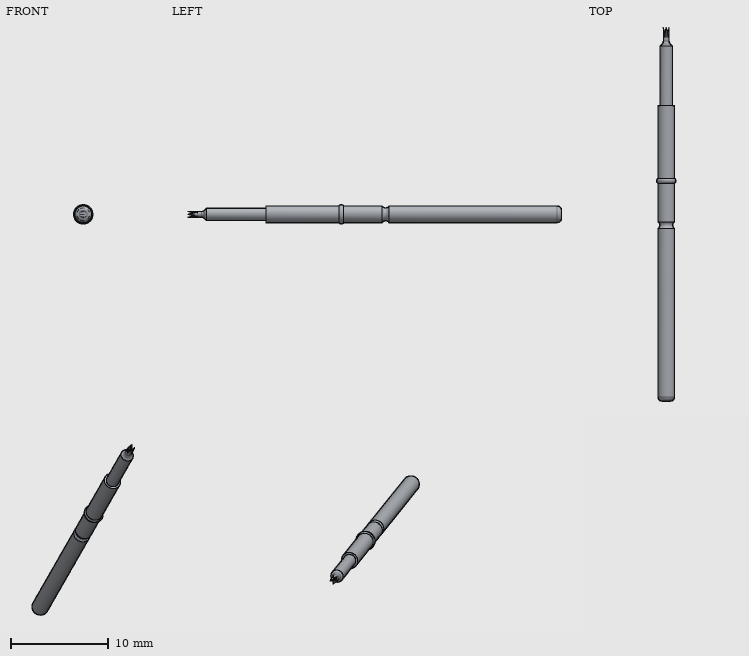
import cadquery as cq
import math

total_length = 38.4

barrel_radius = 1.73 / 2
rear_rounding = 0.45
barrel_front = 30.37

ring_rear = 22.4
ring_front = 22.9
ring_radius = 2.0 / 2

groove_rear = 17.75
groove_front = 18.45
groove_depth = 0.2

plunger_radius = 1.3 / 2
plunger_front = 36.48
neck_radius = 0.6 / 2
cone_angle = 45.0
neck_fillet = 0.4

notch_depth = 1.0
notch_directions = (45.0, 135.0)


def make_turned_body():
    """Revolve the half outline, given as (radius, Y), about the Y axis."""
    ring_middle = (ring_rear + ring_front) / 2
    groove_middle = (groove_rear + groove_front) / 2
    groove_floor = (barrel_radius - groove_depth, groove_middle)

    rear_flat_radius = barrel_radius - rear_rounding
    diagonal = rear_rounding * math.sqrt(0.5)
    rear_arc_middle = (rear_flat_radius + diagonal, rear_rounding - diagonal)

    cone = math.radians(cone_angle)
    cone_length = (plunger_radius - neck_radius) / math.tan(cone)
    neck_corner = plunger_front + cone_length
    tangent_length = neck_fillet * math.tan(cone / 2)
    fillet_rear = (
        neck_radius + tangent_length * math.sin(cone),
        neck_corner - tangent_length * math.cos(cone),
    )
    fillet_front = (neck_radius, neck_corner + tangent_length)
    fillet_middle = (
        neck_radius + neck_fillet * (1 - math.cos(cone / 2)),
        fillet_front[1] - neck_fillet * math.sin(cone / 2),
    )

    outline = (
        cq.Workplane("XY")
        .lineTo(rear_flat_radius, 0)
        .threePointArc(rear_arc_middle, (barrel_radius, rear_rounding))
        .lineTo(barrel_radius, groove_rear)
        .threePointArc(groove_floor, (barrel_radius, groove_front))
        .lineTo(barrel_radius, ring_rear)
        .threePointArc((ring_radius, ring_middle), (barrel_radius, ring_front))
        .lineTo(barrel_radius, barrel_front)
        .lineTo(plunger_radius, barrel_front)
        .lineTo(plunger_radius, plunger_front)
        .lineTo(*fillet_rear)
        .threePointArc(fillet_middle, fillet_front)
        .lineTo(neck_radius, total_length)
        .lineTo(0, total_length)
        .close()
    )
    return outline.revolve(360, (0, 0, 0), (0, 1, 0))


def make_crown_notch(direction):
    """V-shaped cutter across the tip; two of them leave the four points sharp."""
    half_width = neck_radius * math.sqrt(0.5)
    notch = (
        cq.Workplane("XY")
        .moveTo(-half_width, total_length)
        .lineTo(0, total_length - notch_depth)
        .lineTo(half_width, total_length)
        .close()
        .extrude(2 * neck_radius, both=True)
    )
    return notch.rotate((0, 0, 0), (0, 1, 0), direction)


result = make_turned_body()
for notch_direction in notch_directions:
    result = result.cut(make_crown_notch(notch_direction))